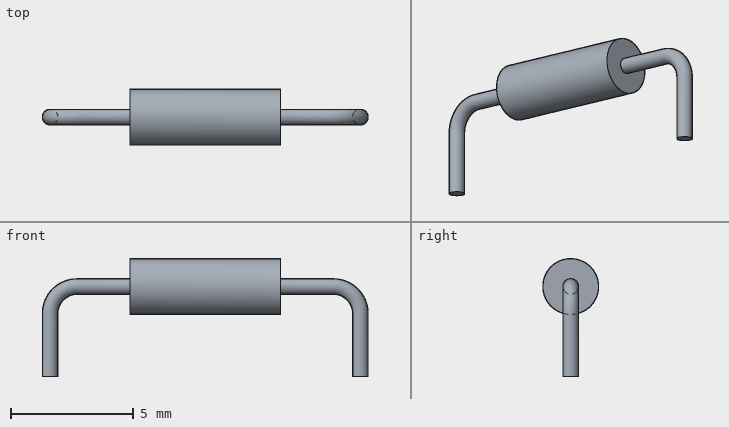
import cadquery as cq

body_diameter = 2.29
body_length = 6.16
wire_diameter = 0.64
lead_pitch = 12.70
bend_radius = 1.11
lead_depth = 2.54

axis_height = body_diameter / 2
wire_radius = wire_diameter / 2
body_half_length = body_length / 2
leg_x = lead_pitch / 2
bend_start_x = leg_x - bend_radius
bend_end_z = axis_height - bend_radius


def make_body():
    """Plain cylindrical body centred on the YZ plane."""
    return (
        cq.Workplane("YZ", origin=(-body_half_length, 0, axis_height))
        .circle(body_diameter / 2)
        .extrude(body_length)
    )


def make_lead(side):
    """Round wire from a body end face, bent down to a leg; side is -1 or +1 along X."""
    centreline = (
        cq.Workplane("XZ")
        .moveTo(side * body_half_length, axis_height)
        .lineTo(side * bend_start_x, axis_height)
        .tangentArcPoint((side * leg_x, bend_end_z), relative=False)
        .lineTo(side * leg_x, -lead_depth)
    )
    return (
        cq.Workplane("YZ", origin=(side * body_half_length, 0, axis_height))
        .circle(wire_radius)
        .sweep(centreline)
    )


body = make_body()
leads = [make_lead(side) for side in (-1, 1)]

result = cq.Compound.makeCompound([body.val(), *[lead.val() for lead in leads]])